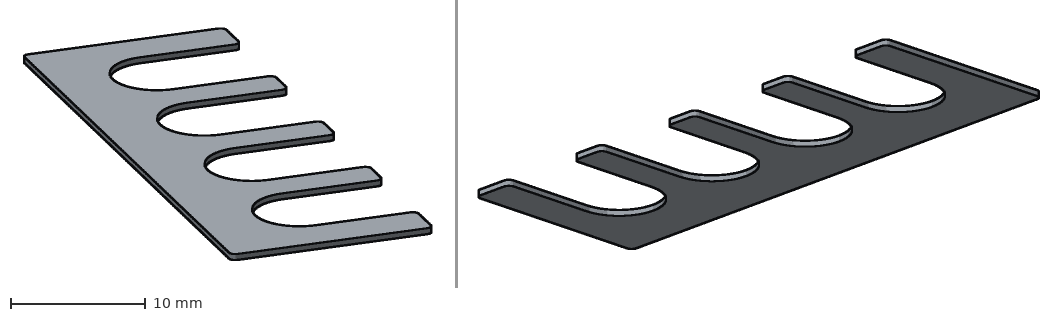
import cadquery as cq

length = 44.0
width = 16.0
thickness = 0.5
corner_radius = 0.5

slot_count = 4
slot_pitch = 10.0
slot_width = 7.0
slot_depth = 11.5


def slot_cutter(center_x):
    """Round-bottomed slot, open at the +Y edge of the plate."""
    radius = slot_width / 2
    top_y = width / 2
    bottom_y = top_y - slot_depth
    arc_start_y = bottom_y + radius
    return (
        cq.Workplane("XY")
        .moveTo(center_x - radius, top_y)
        .lineTo(center_x - radius, arc_start_y)
        .threePointArc((center_x, bottom_y), (center_x + radius, arc_start_y))
        .lineTo(center_x + radius, top_y)
        .close()
        .extrude(thickness)
    )


plate = cq.Workplane("XY").box(length, width, thickness, centered=(True, True, False))

for index in range(slot_count):
    slot_x = (index - (slot_count - 1) / 2) * slot_pitch
    plate = plate.cut(slot_cutter(slot_x))

outer_corners = plate.edges("|Z and >Y").add(plate.edges("|Z and <Y"))
result = outer_corners.fillet(corner_radius)